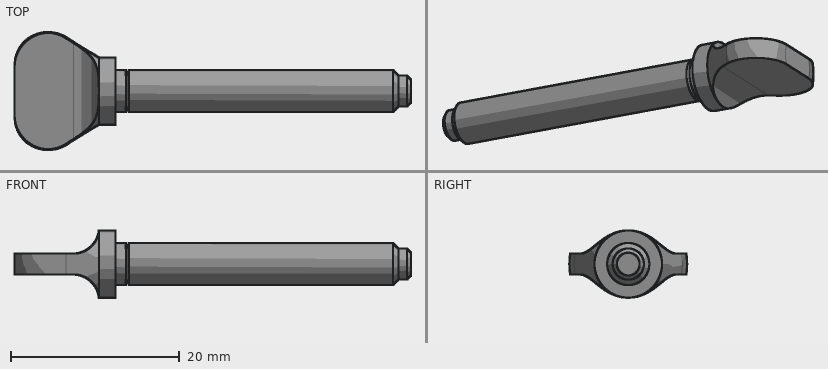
import cadquery as cq
import math


collar_start = 10.0
collar_end = 12.0
groove_start = 13.2
groove_end = 13.6
tip_start = 45.5
total_length = 47.0

collar_radius = 4.0
shank_radius = 2.5
groove_angle = math.radians(60)
tip_radius = 1.85
tip_chamfer = 0.5

grip_end_radius = 3.0
grip_rim_radius = 4.0
grip_thickness = 2.5
grip_flat_length = 7.0


def grip_tangent_angle():
    """Angle, at the rim centre, of the point where the cone towards the collar leaves the rim arc."""
    run = collar_start - grip_rim_radius
    rise = collar_radius - grip_end_radius
    return math.atan2(rise, run) + math.acos(grip_rim_radius / math.hypot(run, rise))


def rim_point(angle):
    """Point on the rim arc of the grip profile."""
    return (
        grip_rim_radius + grip_rim_radius * math.cos(angle),
        grip_end_radius + grip_rim_radius * math.sin(angle),
    )


def make_grip_blank():
    """Turned blank: flat end, rounded rim and a tangent cone down to the collar."""
    tangent_angle = grip_tangent_angle()
    return (
        cq.Workplane("XY")
        .lineTo(0, grip_end_radius)
        .threePointArc(rim_point((math.pi + tangent_angle) / 2), rim_point(tangent_angle))
        .lineTo(collar_start, collar_radius)
        .lineTo(collar_start, 0)
        .close()
        .revolve(360, (0, 0, 0), (1, 0, 0))
    )


def make_grip_slab():
    """Flat plate along Y that flares to the collar through a concave fillet on both faces."""
    half_thickness = grip_thickness / 2
    fillet_run = collar_start - grip_flat_length
    fillet_rise = collar_radius - half_thickness
    fillet_radius = (fillet_run**2 + fillet_rise**2) / (2 * fillet_rise)
    half_sweep = math.atan2(fillet_rise, fillet_run)
    mid_x = grip_flat_length + fillet_radius * math.sin(half_sweep)
    mid_z = half_thickness + fillet_radius * (1 - math.cos(half_sweep))
    slab_half_width = grip_end_radius + grip_rim_radius
    return (
        cq.Workplane("XZ")
        .moveTo(0, -half_thickness)
        .lineTo(0, half_thickness)
        .lineTo(grip_flat_length, half_thickness)
        .threePointArc((mid_x, mid_z), (collar_start, collar_radius))
        .lineTo(collar_start, -collar_radius)
        .threePointArc((mid_x, -mid_z), (grip_flat_length, -half_thickness))
        .close()
        .extrude(slab_half_width, both=True)
    )


def make_shaft():
    """Collar, shank with its one-sided V groove, and chamfered tip, turned in one profile."""
    groove_depth = (groove_end - groove_start) * math.tan(groove_angle)
    groove_radius = shank_radius - groove_depth
    shank_end = tip_start - (shank_radius - tip_radius)
    profile = [
        (collar_start, 0),
        (collar_start, collar_radius),
        (collar_end, collar_radius),
        (collar_end, shank_radius),
        (groove_start, shank_radius),
        (groove_start, groove_radius),
        (groove_end, shank_radius),
        (shank_end, shank_radius),
        (tip_start, tip_radius),
        (total_length - tip_chamfer, tip_radius),
        (total_length, tip_radius - tip_chamfer),
        (total_length, 0),
    ]
    return cq.Workplane("XY").polyline(profile).close().revolve(360, (0, 0, 0), (1, 0, 0))


grip = make_grip_blank().intersect(make_grip_slab())
result = grip.union(make_shaft())